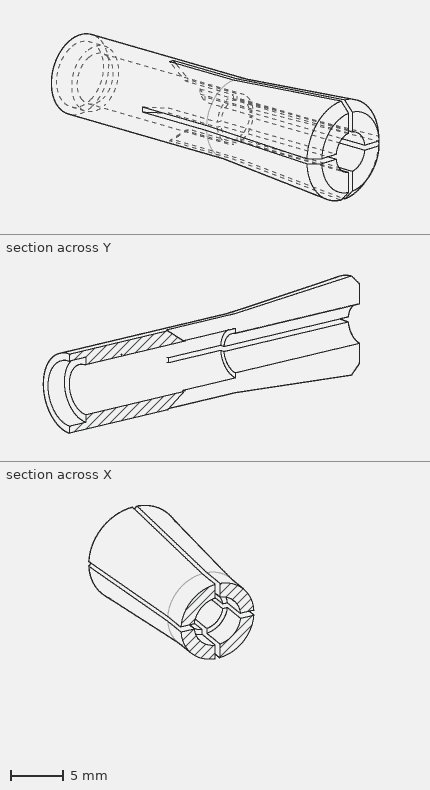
import cadquery as cq

LENGTH = 36.0
SHANK_DIAMETER = 8.0
HEAD_DIAMETER = 10.0
NOSE_CHAMFER = (HEAD_DIAMETER - SHANK_DIAMETER) / 2
TAPER_START = 20.65

COUNTERBORE_DIAMETER = 6.5
COUNTERBORE_DEPTH = 2.0
BORE_DIAMETER = 5.0
BORE_DEPTH = TAPER_START
GRIP_DIAMETER = 4.0

SLOT_WIDTH = 0.5
SLOT_START = 12.15
SLOT_RAMP_LENGTH = 2.1


def make_body():
    """Revolve the shank, tapered head and chamfered nose as one solid."""
    shank_radius = SHANK_DIAMETER / 2
    head_radius = HEAD_DIAMETER / 2
    outline = [
        (0, 0),
        (0, shank_radius),
        (TAPER_START, shank_radius),
        (LENGTH - NOSE_CHAMFER, head_radius),
        (LENGTH, head_radius - NOSE_CHAMFER),
        (LENGTH, 0),
    ]
    return cq.Workplane("XY").polyline(outline).close().revolve(360, (0, 0, 0), (1, 0, 0))


def bore_cutter(diameter, depth):
    """Return a cylinder that reaches into the part from the shank end."""
    return cq.Workplane("YZ").circle(diameter / 2).extrude(depth)


def make_slot_cutter():
    """Return two crossing slabs whose closed end follows a cone around the axis.

    The cone makes each slot longest at the shank surface and shortest at the bore.
    """
    shank_radius = SHANK_DIAMETER / 2
    ramp_slope = SLOT_RAMP_LENGTH / (shank_radius - BORE_DIAMETER / 2)
    cone_tip = SLOT_START + ramp_slope * shank_radius

    slot_length = LENGTH - SLOT_START
    slot_middle = (SLOT_START + LENGTH) / 2
    upright_slab = cq.Workplane("XY").box(slot_length, SLOT_WIDTH, HEAD_DIAMETER)
    flat_slab = cq.Workplane("XY").box(slot_length, HEAD_DIAMETER, SLOT_WIDTH)
    slabs = upright_slab.union(flat_slab).translate((slot_middle, 0, 0))

    cone_outline = [(SLOT_START, 0), (SLOT_START, shank_radius), (cone_tip, 0)]
    cone = cq.Workplane("XY").polyline(cone_outline).close().revolve(360, (0, 0, 0), (1, 0, 0))
    return slabs.cut(cone)


result = (
    make_body()
    .cut(bore_cutter(COUNTERBORE_DIAMETER, COUNTERBORE_DEPTH))
    .cut(bore_cutter(BORE_DIAMETER, BORE_DEPTH))
    .cut(bore_cutter(GRIP_DIAMETER, LENGTH))
    .cut(make_slot_cutter())
)